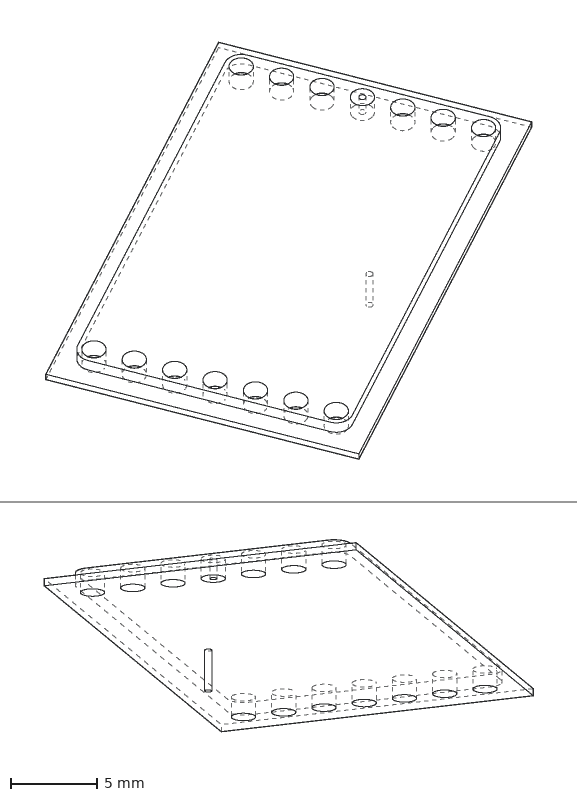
import cadquery as cq

flange_width = 19.35
flange_length = 29.35
flange_thickness = 0.45
platform_height = 0.75
corner_radius = 1.0
base_height = flange_thickness + platform_height

hole_diameter = 1.4
hole_pitch = 2.5
holes_per_row = 7
row_offset = 12.5
end_hole_offset = hole_pitch * (holes_per_row - 1) / 2
platform_width = 2 * (end_hole_offset + corner_radius)
platform_length = 2 * (row_offset + corner_radius)

pin_diameter = 0.4
ground_pin_length = 2.5
ground_pin_x = 2 * hole_pitch


def make_base():
    """Flange, platform and ground pin in one piece, pierced by both rows of holes."""
    flange = cq.Workplane("XY").box(
        flange_width, flange_length, flange_thickness, centered=(True, True, False)
    )
    platform = (
        cq.Workplane("XY")
        .box(platform_width, platform_length, base_height, centered=(True, True, False))
        .edges("|Z")
        .fillet(corner_radius)
    )
    ground_pin = (
        cq.Workplane("XY")
        .center(ground_pin_x, 0)
        .circle(pin_diameter / 2)
        .extrude(-ground_pin_length)
    )
    holes = (
        cq.Workplane("XY")
        .rarray(hole_pitch, 2 * row_offset, holes_per_row, 2)
        .circle(hole_diameter / 2)
        .extrude(base_height)
    )
    return flange.union(platform).union(ground_pin).cut(holes).solids()


def make_seal_bead():
    """Ring filling the middle hole of the +Y row, flush with both faces of the base."""
    return (
        cq.Workplane("XY")
        .center(0, row_offset)
        .circle(hole_diameter / 2)
        .circle(pin_diameter / 2)
        .extrude(base_height)
    )


def make_sealed_pin():
    """Pin filling the bore of the seal bead."""
    return cq.Workplane("XY").center(0, row_offset).circle(pin_diameter / 2).extrude(base_height)


base = make_base()
seal_bead = make_seal_bead()
sealed_pin = make_sealed_pin()

result = cq.Compound.makeCompound([base.val(), seal_bead.val(), sealed_pin.val()])